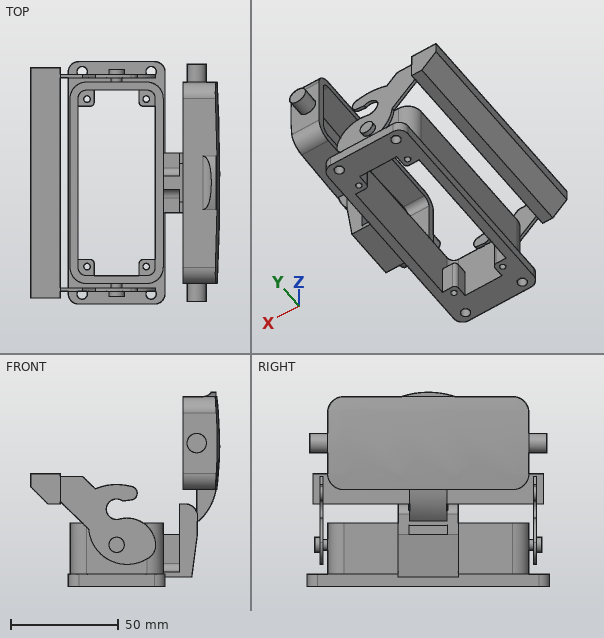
import cadquery as cq
import math


BASE_WIDTH = 45.2
BASE_LENGTH = 113.0
BASE_HEIGHT = 5.8
BASE_CORNER = 5.0
SCREW_DIAMETER = 4.7
SCREW_X = 16.0
SCREW_Y = 51.8

SHELL_WIDTH = 43.4
SHELL_LENGTH = 93.8
SHELL_CORNER = 7.6
WALL = 3.7
CAVITY_WIDTH = SHELL_WIDTH - 2 * WALL
CAVITY_LENGTH = SHELL_LENGTH - 2 * WALL
CAVITY_CORNER = SHELL_CORNER - WALL
PIN_START_Y = (SHELL_LENGTH - WALL) / 2

HOUSING_TOP = 29.6
POST_SIZE = 7.6
POST_CORNER = 2.0
POST_TOP = 17.3
POST_HOLE_DIAMETER = 2.9
POST_HOLE_INSET = 4.2

LEVER_INNER_Y = 48.9
LEVER_THICKNESS = 1.6
LEVER_TOP = 51.3
LEVER_ROOT_X = -27.3
PIVOT_Z = 19.4
PIVOT_DIAMETER = 5.1
PIVOT_HEAD_DIAMETER = 7.1
PIVOT_END_Y = 52.9
HANDLE_LEFT = -40.0
HANDLE_RIGHT = -26.2
HANDLE_TOP = 52.5
HANDLE_HEIGHT = 14.1
HANDLE_BEVEL = 8.0
HANDLE_LENGTH = 107.4

BRACKET_LENGTH = 28.0
BRACKET_BOTTOM = 4.4
BRACKET_FLOOR = 6.8
BRACKET_LEFT = 29.2
BRACKET_RIGHT = 37.6
BRACKET_TOP = 38.5
BRACKET_SHOULDER = 24.3
RIB_THICKNESS = 6.3
RIB_FILLET = 3.8
POCKET_LENGTH = 18.0
CROSSBAR_LEFT = 31.3
CROSSBAR_BOTTOM = 28.5
CROSSBAR_TOP = 35.5

LID_LEFT = 30.8
LID_CROWN = 48.0
LID_Z = 66.8
LID_TOP = LID_Z + SHELL_WIDTH / 2
LID_BOTTOM = LID_Z - SHELL_WIDTH / 2
LID_BACK_THICKNESS = 3.7
CROWN_RADIUS_ACROSS = 186.5
CROWN_RADIUS_ALONG = 971.8
LID_PIN_X = 37.3
LID_PIN_DIAMETER = 9.0
LID_PIN_END_Y = 55.3

LEG_LENGTH = 17.4
LEG_LEFT = 37.2
LEG_TIP_Z = 30.5
LEG_TIP_WIDTH = 1.1
LEG_RIGHT = 46.3

GRIP_HALF_LENGTH = 12.4
GRIP_RISE = 2.0
GRIP_LEFT = 40.2
GRIP_CREST_LEFT = 44.1
GRIP_RIGHT = 46.3


def block(x_range, y_range, z_range):
    """Box given by its limits along each axis."""
    sizes = [high - low for low, high in (x_range, y_range, z_range)]
    corner = (x_range[0], y_range[0], z_range[0])
    return cq.Workplane("XY").box(*sizes, centered=False).translate(corner)


def rounded_block(width, length, height, corner):
    """Box standing on Z = 0 with rounded vertical edges."""
    return cq.Workplane("XY").rect(width, length).extrude(height).edges("|Z").fillet(corner)


def extrude_along_y(profile, start, end):
    """Extrude a closed XZ outline between two Y positions."""
    return profile.extrude(start - end).translate((0, start, 0))


def cylinder_along_y(x, z, diameter, start, end):
    circle = cq.Workplane("XZ").center(x, z).circle(diameter / 2)
    return extrude_along_y(circle, start, end)


def with_mirror(solid):
    """The solid joined to its mirror image across Y = 0."""
    return solid.union(solid.mirror("XZ"))


def make_housing():
    base = rounded_block(BASE_WIDTH, BASE_LENGTH, BASE_HEIGHT, BASE_CORNER)
    walls = rounded_block(SHELL_WIDTH, SHELL_LENGTH, HOUSING_TOP, SHELL_CORNER)
    cavity = rounded_block(CAVITY_WIDTH, CAVITY_LENGTH, HOUSING_TOP, CAVITY_CORNER)
    screws = (
        cq.Workplane("XY")
        .rect(2 * SCREW_X, 2 * SCREW_Y, forConstruction=True)
        .vertices()
        .circle(SCREW_DIAMETER / 2)
        .extrude(BASE_HEIGHT)
    )
    return base.union(walls).cut(cavity.cut(make_corner_posts())).cut(screws)


def make_corner_posts():
    """Four screw posts in the corners of the cavity, each with one rounded free edge."""
    aisle_width = CAVITY_WIDTH - 2 * POST_SIZE
    aisle_length = CAVITY_LENGTH - 2 * POST_SIZE
    posts = cq.Workplane("XY")
    for side_x in (-1, 1):
        for side_y in (-1, 1):
            center_x = side_x * (aisle_width + POST_SIZE) / 2
            center_y = side_y * (aisle_length + POST_SIZE) / 2
            free_side_x = "<X" if side_x > 0 else ">X"
            free_side_y = "<Y" if side_y > 0 else ">Y"
            post = (
                cq.Workplane("XY")
                .rect(POST_SIZE, POST_SIZE)
                .extrude(POST_TOP)
                .edges(f"|Z and {free_side_x} and {free_side_y}")
                .fillet(POST_CORNER)
                .translate((center_x, center_y, 0))
            )
            posts = posts.union(post)
    hole_pitch_x = CAVITY_WIDTH - 2 * POST_HOLE_INSET
    hole_pitch_y = CAVITY_LENGTH - 2 * POST_HOLE_INSET
    holes = (
        cq.Workplane("XY")
        .rect(hole_pitch_x, hole_pitch_y, forConstruction=True)
        .vertices()
        .circle(POST_HOLE_DIAMETER / 2)
        .extrude(POST_TOP)
    )
    return posts.cut(holes)


def make_lever():
    """Two hooked side plates on pivot pins, joined by a handle bar."""
    plate_outline = (
        cq.Workplane("XZ")
        .moveTo(LEVER_ROOT_X, LEVER_TOP)
        .lineTo(-15.8, LEVER_TOP)
        .lineTo(-10.0, 45.5)
        .threePointArc((-0.2, 47.6), (6.8, 46.7))
        .threePointArc((9.6, 43.6), (7.2, 40.3))
        .lineTo(2.8, 39.8)
        .threePointArc((-4.7, 35.7), (1.1, 31.4))
        .threePointArc((12.9, 29.3), (18.1, 20.6))
        .threePointArc((17.5, 16.3), (14.1, 12.9))
        .threePointArc((-5.8, 13.8), (-13.0, 26.7))
        .lineTo(LEVER_ROOT_X, 40.6)
        .close()
    )
    plate = extrude_along_y(plate_outline, LEVER_INNER_Y, LEVER_INNER_Y + LEVER_THICKNESS)
    pin = cylinder_along_y(0, PIVOT_Z, PIVOT_DIAMETER, PIN_START_Y, PIVOT_END_Y)
    head = cylinder_along_y(0, PIVOT_Z, PIVOT_HEAD_DIAMETER, LEVER_INNER_Y, PIVOT_END_Y)
    handle_bottom = HANDLE_TOP - HANDLE_HEIGHT
    handle_outline = (
        cq.Workplane("XZ")
        .moveTo(HANDLE_LEFT, HANDLE_TOP)
        .lineTo(HANDLE_RIGHT, HANDLE_TOP)
        .lineTo(HANDLE_RIGHT, handle_bottom)
        .lineTo(HANDLE_LEFT + HANDLE_BEVEL, handle_bottom)
        .lineTo(HANDLE_LEFT, handle_bottom + HANDLE_BEVEL)
        .close()
    )
    handle = extrude_along_y(handle_outline, -HANDLE_LENGTH / 2, HANDLE_LENGTH / 2)
    return with_mirror(plate.union(pin).union(head)).union(handle)


def make_hinge_bracket():
    """Upright carrying the lid, tied to the housing by a floor and a filleted centre rib."""
    half_length = BRACKET_LENGTH / 2
    upright_outline = (
        cq.Workplane("XZ")
        .moveTo(BRACKET_LEFT, BRACKET_BOTTOM)
        .lineTo(BRACKET_LEFT, BRACKET_TOP)
        .lineTo(32.3, BRACKET_TOP)
        .threePointArc((35.9, 36.8), (BRACKET_RIGHT, 33.7))
        .lineTo(BRACKET_RIGHT, BRACKET_SHOULDER)
        .threePointArc((36.6, 16.8), (35.0, BRACKET_BOTTOM))
        .close()
    )
    upright = extrude_along_y(upright_outline, -half_length, half_length)
    pocket_y = (-POCKET_LENGTH / 2, POCKET_LENGTH / 2)
    pocket = block((BRACKET_LEFT, BRACKET_RIGHT), pocket_y, (BRACKET_SHOULDER, BRACKET_TOP))
    crossbar = block((CROSSBAR_LEFT, BRACKET_RIGHT), pocket_y, (CROSSBAR_BOTTOM, CROSSBAR_TOP))
    upright = upright.cut(pocket.cut(crossbar))

    rib_start = (SHELL_WIDTH - WALL) / 2
    rib_face = RIB_THICKNESS / 2
    rib_foot = rib_face + RIB_FILLET
    fillet_top = BRACKET_FLOOR + RIB_FILLET
    fillet_sag = RIB_FILLET * (1 - math.sqrt(0.5))
    middle_y = rib_face + fillet_sag
    middle_z = BRACKET_FLOOR + fillet_sag
    tie = (
        cq.Workplane("YZ", origin=(rib_start, 0, 0))
        .moveTo(-half_length, BRACKET_BOTTOM)
        .lineTo(half_length, BRACKET_BOTTOM)
        .lineTo(half_length, BRACKET_FLOOR)
        .lineTo(rib_foot, BRACKET_FLOOR)
        .threePointArc((middle_y, middle_z), (rib_face, fillet_top))
        .lineTo(rib_face, BRACKET_SHOULDER)
        .lineTo(-rib_face, BRACKET_SHOULDER)
        .lineTo(-rib_face, fillet_top)
        .threePointArc((-middle_y, middle_z), (-rib_foot, BRACKET_FLOOR))
        .lineTo(-half_length, BRACKET_FLOOR)
        .close()
        .extrude(BRACKET_LEFT - rib_start)
    )
    return upright.union(tie)


def crowned_block(width, length, corner, crown_x):
    """Rounded lid block from the open side of the lid to a back that curves both ways."""
    depth = crown_x - LID_LEFT
    prism = (
        rounded_block(width, length, depth, corner)
        .rotate((0, 0, 0), (0, 1, 0), 90)
        .translate((LID_LEFT, 0, LID_Z))
    )
    half_length = SHELL_LENGTH / 2
    end_drop = CROWN_RADIUS_ALONG - math.sqrt(CROWN_RADIUS_ALONG**2 - half_length**2)
    crown = (
        cq.Workplane("XY")
        .moveTo(0, -half_length)
        .lineTo(CROWN_RADIUS_ACROSS - end_drop, -half_length)
        .threePointArc((CROWN_RADIUS_ACROSS, 0), (CROWN_RADIUS_ACROSS - end_drop, half_length))
        .lineTo(0, half_length)
        .close()
        .revolve(360, (0, 0), (0, 1))
        .translate((crown_x - CROWN_RADIUS_ACROSS, 0, LID_Z))
    )
    return prism.intersect(crown)


def make_lid():
    shell = crowned_block(SHELL_WIDTH, SHELL_LENGTH, SHELL_CORNER, LID_CROWN)
    cavity = crowned_block(CAVITY_WIDTH, CAVITY_LENGTH, CAVITY_CORNER, LID_CROWN - LID_BACK_THICKNESS)
    pin = cylinder_along_y(LID_PIN_X, LID_Z, LID_PIN_DIAMETER, PIN_START_Y, LID_PIN_END_Y)
    return shell.union(with_mirror(pin)).union(make_leg()).union(make_grip()).cut(cavity)


def make_leg():
    """Curved leg that hangs from the lid and rests against the hinge bracket."""
    root_z = LID_BOTTOM + WALL / 2
    outline = (
        cq.Workplane("XZ")
        .moveTo(LEG_LEFT, root_z)
        .lineTo(LEG_LEFT, LEG_TIP_Z)
        .lineTo(LEG_LEFT + LEG_TIP_WIDTH, LEG_TIP_Z)
        .threePointArc((43.7, 37.5), (LEG_RIGHT, LID_BOTTOM))
        .lineTo(LEG_RIGHT, root_z)
        .close()
    )
    return extrude_along_y(outline, -LEG_LENGTH / 2, LEG_LENGTH / 2)


def make_grip():
    """Arched ridge along the back of the lid top, hollowed out toward the open side."""
    root_z = LID_TOP - WALL / 2
    crest_z = LID_TOP + GRIP_RISE
    arch = (
        cq.Workplane("YZ", origin=(GRIP_LEFT, 0, 0))
        .moveTo(-GRIP_HALF_LENGTH, root_z)
        .lineTo(-GRIP_HALF_LENGTH, LID_TOP)
        .threePointArc((0, crest_z), (GRIP_HALF_LENGTH, LID_TOP))
        .lineTo(GRIP_HALF_LENGTH, root_z)
        .close()
        .extrude(GRIP_RIGHT - GRIP_LEFT)
    )
    hollow_outline = (
        cq.Workplane("XZ")
        .moveTo(GRIP_LEFT, LID_TOP)
        .threePointArc((42.6, 89.2), (GRIP_CREST_LEFT, crest_z))
        .lineTo(GRIP_LEFT, crest_z)
        .close()
    )
    return arch.cut(extrude_along_y(hollow_outline, -GRIP_HALF_LENGTH, GRIP_HALF_LENGTH))


result = make_housing().union(make_lever()).union(make_hinge_bracket()).union(make_lid())